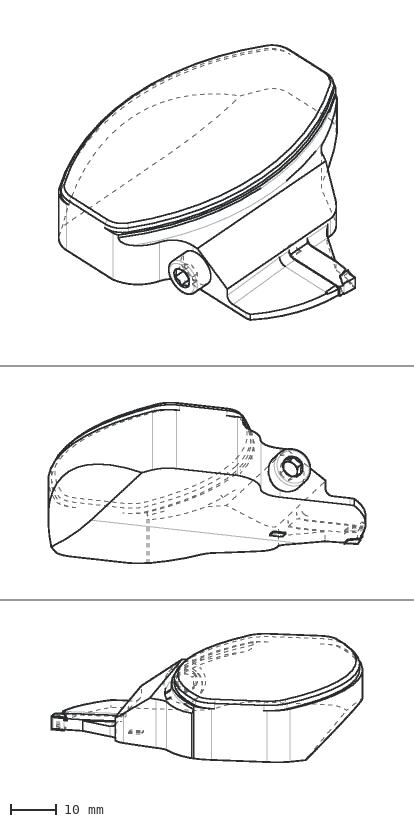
import cadquery as cq
import math

HALF_LENGTH = 35.0
PAD_HALF_WIDTH = 20.4
FLANK_RADIUS = 60.0
CORNER_RADIUS = 5.6
PAD_TOP = 13.6
FLANK_AXIS_X = PAD_HALF_WIDTH - FLANK_RADIUS

CAP_HALF_WIDTH = 19.75
CAP_TOP = 15.55
CAP_CHAMFER = 0.8

LEFT_BEVEL_X = -12.4
LIFT_START_Y = 4.2
LIFT_RADIUS = 233.8

ARM_TOP = 11.35
ARM_FRONT_X = 32.3
ARM_SIDE_Y = -24.0
ARM_ROOT_FILLET = 1.5
ARM_SLOPE_X = 23.2
ARM_FRONT_TOP = 5.05
ARM_CORNER_RADIUS = 4.9
SHOULDER_ANGLE = math.radians(30)

HEEL_START_X = 8.0
HEEL_RADIUS = 10.0
HEEL_END = (15.7, -28.35)
HOLLOW_END_X = 21.7
HOLLOW_RADIUS = 6.3

BOW_START = (10.85, 33.0)
BOW_MID = (15.4, 26.5)
BOW_END = (18.9, 19.75)
SHOULDER_HOLLOW_MID = (20.0, 18.4)
SHOULDER_START = (21.7, 17.4)
SHOULDER_END_Y = SHOULDER_START[1] - math.tan(SHOULDER_ANGLE) * (ARM_FRONT_X - SHOULDER_START[0])

PLATE_TOP = 2.3
PLATE_LOW_TOP = 1.6
PLATE_SLOPE_Y = -7.5
PLATE_FILLET = 1.7
BLADE_TOP = 2.5
BLADE_Y_MIN = -4.4
BLADE_Y_MAX = 1.3
BLADE_END_X = 47.7
WEB_START = (33.95, 6.0)
WEB_END = (40.9, BLADE_Y_MAX)
WEB_ROOT_MID = (32.9, 6.8)
WEB_ROOT_Y = 7.85
PLATE_SIDE_END_X = 37.95
RIM_START = (39.05, -23.8)
RIM_MID = (45.0, -14.1)
RIM_END = (47.25, BLADE_Y_MIN)
RIM_BEVEL_X = 46.35
RIM_BEVEL_DROP = 0.5

TIP_X = 48.0
TIP_Y = 0.15
INSERT_X = 45.15
INSERT_TOP = 2.8
INSERT_BACK_Y = 0.85
INSERT_INNER_Y = -1.75
INSERT_FRONT_Y = -3.15
INSERT_FRONT_X = 47.25
INSERT_NOSE_X = 46.4
RELIEF_X = 44.25
RELIEF_DEPTH = 0.4
FOOT_BOTTOM = -0.3
FOOT_X_MIN = 27.85
FOOT_X_MAX = 30.8
FOOT_Y_MIN = -1.6
FOOT_Y_MAX = 0.7

SCREW_DIAMETER = 8.5
SCREW_X = 23.0
SCREW_Z = 5.7
SCREW_HEAD_LENGTH = 4.8
SCREW_EDGE_FILLET = 0.5
SOCKET_ACROSS_FLATS = 4.0
SOCKET_TURN = 24
SOCKET_DEPTH = 2.8
SOCKET_CONE_DEPTH = 1.25
COUNTERSINK_DIAMETER = 4.7
COUNTERSINK_DEPTH = 0.35

REACH = 210.0


def prism(outline, bottom, top):
    """Extrude a closed XY outline between two heights."""
    return outline.extrude(top - bottom).translate((0, 0, bottom))


def oval(half_width):
    """Oval outline: straight ends, bowed flanks and round corners, all tangent."""
    center_x = half_width - FLANK_RADIUS
    corner_y = HALF_LENGTH - CORNER_RADIUS
    corner_x = center_x + math.sqrt((FLANK_RADIUS - CORNER_RADIUS) ** 2 - corner_y**2)
    tilt = math.atan2(corner_y, corner_x - center_x)
    flank_x = center_x + FLANK_RADIUS * math.cos(tilt)
    flank_y = FLANK_RADIUS * math.sin(tilt)
    return (
        cq.Workplane("XY")
        .moveTo(-corner_x, HALF_LENGTH)
        .lineTo(corner_x, HALF_LENGTH)
        .radiusArc((flank_x, flank_y), CORNER_RADIUS)
        .threePointArc((half_width, 0), (flank_x, -flank_y))
        .radiusArc((corner_x, -HALF_LENGTH), CORNER_RADIUS)
        .lineTo(-corner_x, -HALF_LENGTH)
        .radiusArc((-flank_x, -flank_y), CORNER_RADIUS)
        .threePointArc((-half_width, 0), (-flank_x, flank_y))
        .radiusArc((-corner_x, HALF_LENGTH), CORNER_RADIUS)
        .close()
    )


def arm_outline():
    """Outline of the arm, closed through the inside of the pad."""
    return (
        cq.Workplane("XY")
        .moveTo(0, -HALF_LENGTH)
        .lineTo(HEEL_START_X, -HALF_LENGTH)
        .radiusArc(HEEL_END, -HEEL_RADIUS)
        .radiusArc((HOLLOW_END_X, ARM_SIDE_Y), HOLLOW_RADIUS)
        .lineTo(ARM_FRONT_X, ARM_SIDE_Y)
        .lineTo(ARM_FRONT_X, SHOULDER_END_Y)
        .lineTo(*SHOULDER_START)
        .threePointArc(SHOULDER_HOLLOW_MID, BOW_END)
        .threePointArc(BOW_MID, BOW_START)
        .lineTo(0, BOW_START[1])
        .close()
    )


def flank_relief():
    """Tool that lowers the arm outside the pad flank and leaves a root fillet."""
    fillet_start = ARM_TOP + ARM_ROOT_FILLET
    center = (FLANK_RADIUS + ARM_ROOT_FILLET, fillet_start)
    fillet_mid = (
        center[0] - ARM_ROOT_FILLET * math.sqrt(0.5),
        center[1] - ARM_ROOT_FILLET * math.sqrt(0.5),
    )
    return (
        cq.Workplane("XZ")
        .moveTo(FLANK_RADIUS, CAP_TOP)
        .lineTo(FLANK_RADIUS, fillet_start)
        .threePointArc(fillet_mid, (center[0], ARM_TOP))
        .lineTo(REACH, ARM_TOP)
        .lineTo(REACH, CAP_TOP)
        .close()
        .revolve(360, (0, 0, 0), (0, 1, 0))
        .translate((FLANK_AXIS_X, 0, 0))
        .intersect(cq.Workplane("XY").box(REACH, REACH, REACH, centered=(False, True, True)))
    )


def arm():
    """Arm block with its round corner, root fillet and sloping top."""
    block = prism(arm_outline(), 0, PAD_TOP)
    shoulder_corner = cq.selectors.NearestToPointSelector((ARM_FRONT_X, SHOULDER_END_Y, PAD_TOP / 2))
    block = block.edges("|Z").edges(shoulder_corner).fillet(ARM_CORNER_RADIUS)
    slope_cut = (
        cq.Workplane("XZ")
        .moveTo(ARM_SLOPE_X, ARM_TOP)
        .lineTo(ARM_FRONT_X, ARM_FRONT_TOP)
        .lineTo(ARM_FRONT_X, ARM_TOP)
        .close()
        .extrude(REACH, both=True)
    )
    return block.cut(flank_relief()).cut(slope_cut)


def tool_plate():
    """Thin plate with a sloping -Y part and a fillet against the arm front."""
    outline = (
        cq.Workplane("XY")
        .moveTo(ARM_FRONT_X, ARM_SIDE_Y)
        .lineTo(PLATE_SIDE_END_X, ARM_SIDE_Y)
        .lineTo(*RIM_START)
        .threePointArc(RIM_MID, RIM_END)
        .lineTo(RIM_END[0], TIP_Y)
        .lineTo(*WEB_END)
        .lineTo(*WEB_START)
        .threePointArc(WEB_ROOT_MID, (ARM_FRONT_X, WEB_ROOT_Y))
        .close()
    )
    blank = prism(outline, 0, ARM_FRONT_TOP)
    level = blank.intersect(level_half(plate_profile()))
    tilt = math.degrees(math.atan2(PLATE_TOP - PLATE_LOW_TOP, PLATE_SLOPE_Y - ARM_SIDE_Y))
    fold_start = (0, PLATE_SLOPE_Y, PLATE_TOP)
    fold_end = (1, PLATE_SLOPE_Y, PLATE_TOP)
    sloping = blank.intersect(plate_profile().rotate(fold_start, fold_end, tilt)).cut(level_half(blank))
    return level.union(sloping).cut(blade_slot()).cut(rim_bevel())


def plate_profile():
    """Long bar with the plate's top and its fillet against the arm front."""
    fillet_mid_offset = PLATE_FILLET * (1 - math.sqrt(0.5))
    return (
        cq.Workplane("XZ")
        .moveTo(ARM_FRONT_X, -ARM_TOP)
        .lineTo(ARM_FRONT_X, PLATE_TOP + PLATE_FILLET)
        .threePointArc(
            (ARM_FRONT_X + fillet_mid_offset, PLATE_TOP + fillet_mid_offset),
            (ARM_FRONT_X + PLATE_FILLET, PLATE_TOP),
        )
        .lineTo(TIP_X, PLATE_TOP)
        .lineTo(TIP_X, -ARM_TOP)
        .close()
        .extrude(REACH, both=True)
    )


def level_half(shape):
    """Part of a shape on the +Y side of the line where the plate starts to slope."""
    half_space = cq.Workplane("XY").box(REACH, REACH, REACH, centered=(True, False, True))
    return shape.intersect(half_space.translate((0, PLATE_SLOPE_Y, 0)))


def blade_slot():
    """Tool that clears the plate and its fillet where the blade lies."""
    return (
        cq.Workplane("XY")
        .box(TIP_X - ARM_FRONT_X, BLADE_Y_MAX - BLADE_Y_MIN, ARM_FRONT_TOP, centered=False)
        .translate((ARM_FRONT_X, BLADE_Y_MIN, 0))
    )


def rim_bevel():
    """Tool for the bevel on the rim of the level strip beside the blade."""
    return (
        cq.Workplane("XZ", origin=(0, BLADE_Y_MIN, 0))
        .moveTo(RIM_BEVEL_X, PLATE_TOP)
        .lineTo(RIM_END[0], PLATE_TOP - RIM_BEVEL_DROP)
        .lineTo(RIM_END[0], PLATE_TOP)
        .close()
        .extrude(BLADE_Y_MIN - PLATE_SLOPE_Y)
    )


def blade():
    """Raised blade along the plate, with a shallow relief behind the insert."""
    outline = cq.Workplane("XY").polyline([
        (ARM_FRONT_X, BLADE_Y_MIN),
        (BLADE_END_X, BLADE_Y_MIN),
        (BLADE_END_X, TIP_Y),
        (INSERT_X, INSERT_BACK_Y),
        (WEB_END[0], BLADE_Y_MAX),
        (ARM_FRONT_X, BLADE_Y_MAX),
    ]).close()
    relief = cq.Workplane("XY").polyline([
        (RELIEF_X, BLADE_Y_MAX),
        (INSERT_X, INSERT_INNER_Y),
        (INSERT_X, BLADE_Y_MAX),
    ]).close()
    return prism(outline, 0, BLADE_TOP).cut(prism(relief, BLADE_TOP - RELIEF_DEPTH, BLADE_TOP))


def insert_tip():
    """Cutting tip that stands out above, below and ahead of the blade."""
    outline = cq.Workplane("XY").polyline([
        (INSERT_X, INSERT_BACK_Y),
        (INSERT_X, INSERT_INNER_Y),
        (INSERT_FRONT_X, INSERT_FRONT_Y),
        (BLADE_END_X, INSERT_FRONT_Y),
        (TIP_X, TIP_Y),
        (INSERT_NOSE_X, TIP_Y),
    ]).close()
    return prism(outline, FOOT_BOTTOM, INSERT_TOP)


def foot():
    """Small foot under the arm."""
    outline = cq.Workplane("XY").polyline([
        (FOOT_X_MIN, FOOT_Y_MIN),
        (FOOT_X_MAX, FOOT_Y_MIN),
        (FOOT_X_MAX, FOOT_Y_MAX),
        (FOOT_X_MIN, FOOT_Y_MAX),
    ]).close()
    return prism(outline, FOOT_BOTTOM, ARM_FRONT_TOP)


def left_bevel():
    """Tool for the 45 degree bevel under the -X flank."""
    return (
        cq.Workplane("XZ")
        .moveTo(LEFT_BEVEL_X, 0)
        .lineTo(LEFT_BEVEL_X - PAD_TOP, PAD_TOP)
        .lineTo(LEFT_BEVEL_X - PAD_TOP, 0)
        .close()
        .extrude(REACH, both=True)
    )


def lifted_underside():
    """Tool that curves the underside upward toward the +Y end."""
    end_z = LIFT_RADIUS - math.sqrt(LIFT_RADIUS**2 - (HALF_LENGTH - LIFT_START_Y) ** 2)
    return (
        cq.Workplane("YZ")
        .moveTo(LIFT_START_Y, 0)
        .radiusArc((HALF_LENGTH, end_z), -LIFT_RADIUS)
        .lineTo(HALF_LENGTH, 0)
        .close()
        .extrude(REACH, both=True)
    )


def screw_cylinder(diameter, length):
    """Cylinder on the screw axis that runs from the arm side toward -Y."""
    side_face = cq.Workplane("XZ", origin=(SCREW_X, ARM_SIDE_Y, SCREW_Z))
    return side_face.circle(diameter / 2).extrude(length)


def make_holder():
    pad = prism(oval(PAD_HALF_WIDTH), 0, PAD_TOP)
    cap = prism(oval(CAP_HALF_WIDTH), PAD_TOP, CAP_TOP).faces(">Z").chamfer(CAP_CHAMFER)
    body = pad.union(arm()).union(cap).union(tool_plate()).union(blade())
    body = body.cut(left_bevel()).cut(lifted_underside())
    body = body.union(insert_tip()).union(foot())
    return body.cut(screw_cylinder(SCREW_DIAMETER, SCREW_HEAD_LENGTH))


def make_screw():
    """Cap screw head with a countersunk, cone-bottomed hexagon socket."""
    head = screw_cylinder(SCREW_DIAMETER, SCREW_HEAD_LENGTH)
    head = head.faces("<Y").edges().fillet(SCREW_EDGE_FILLET)
    head_face_y = ARM_SIDE_Y - SCREW_HEAD_LENGTH
    across_corners = SOCKET_ACROSS_FLATS / math.cos(math.radians(30))
    hexagon = (
        cq.Workplane("XZ", origin=(SCREW_X, head_face_y, SCREW_Z))
        .transformed(rotate=(0, 0, SOCKET_TURN))
        .polygon(6, across_corners)
        .extrude(-SOCKET_DEPTH)
    )
    flat_radius = SOCKET_ACROSS_FLATS / 2
    countersink_and_cone = (
        cq.Workplane("XY")
        .polyline([
            (0, 0),
            (COUNTERSINK_DIAMETER / 2, 0),
            (flat_radius, COUNTERSINK_DEPTH),
            (flat_radius, SOCKET_DEPTH),
            (0, SOCKET_DEPTH + SOCKET_CONE_DEPTH),
        ])
        .close()
        .revolve(360, (0, 0, 0), (0, 1, 0))
        .translate((SCREW_X, head_face_y, SCREW_Z))
    )
    return head.cut(hexagon).cut(countersink_and_cone)


holder = make_holder()
screw = make_screw()

result = cq.Compound.makeCompound([holder.solids().val(), screw.solids().val()])